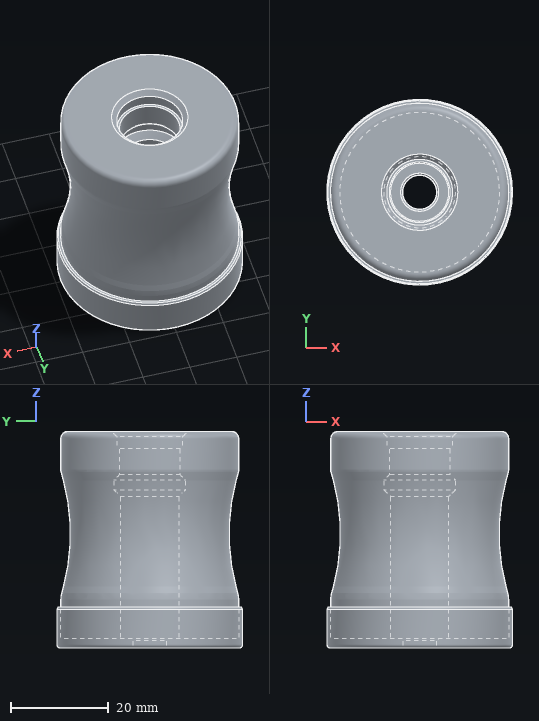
import cadquery as cq
import math

TOTAL_HEIGHT = 44.45
CAP_RADIUS = 38.1 / 2
KNOB_RADIUS = 18.25

CAP_HEIGHT = 8.45
CAP_FLOOR = 2.0
CAP_BOTTOM_FILLET = 0.7
CAP_RIM_CHAMFER_HEIGHT = 0.5
CAP_RIM_CHAMFER_WIDTH = 0.25
CAP_HOLE_RADIUS = 3.45
CAP_HOLE_CHAMFER = 0.45

WAIST_RADIUS = 16.3
WAIST_CENTER_Z = 23.45
WAIST_HALF_HEIGHT = 10.9
WAIST_ARC_RADIUS = 42.23
KNOB_TOP_FILLET = 1.5
UPPER_SHOULDER_FILLET = 2.0
LOWER_SHOULDER_FILLET = 5.1

MOUTH_RADIUS = 6.75
MOUTH_CHAMFER = 1.05
MOUTH_DEPTH = 3.5
NECK_RADIUS = 6.22
NECK_END_DEPTH = 8.9
GROOVE_RADIUS = 7.35
GROOVE_WALL_HEIGHT = 2.0
LOWER_BORE_RADIUS = 5.95


def revolve_profile(profile):
    """Turn a closed (radius, height) outline about the Z axis."""
    return profile.close().revolve(360, (0, 0, 0), (0, 1, 0))


def edge_at(radius, height):
    """Selector for the full circular edge at a given radius and height."""
    margin = 0.05
    reach = radius + margin
    return cq.selectors.BoxSelector(
        (-reach, -reach, height - margin), (reach, reach, height + margin), boundingbox=True
    )


def make_knob_blank():
    """Waisted outside of the knob, without its bore."""
    arc_angle = math.asin(WAIST_HALF_HEIGHT / WAIST_ARC_RADIUS)
    arc_end_radius = WAIST_RADIUS + WAIST_ARC_RADIUS * (1 - math.cos(arc_angle))
    flank_height = (KNOB_RADIUS - arc_end_radius) / math.tan(arc_angle)
    shoulder_offset = WAIST_HALF_HEIGHT + flank_height
    lower_shoulder_z = WAIST_CENTER_Z - shoulder_offset
    upper_shoulder_z = WAIST_CENTER_Z + shoulder_offset

    profile = (
        cq.Workplane("XZ")
        .moveTo(0, CAP_FLOOR)
        .lineTo(KNOB_RADIUS, CAP_FLOOR)
        .lineTo(KNOB_RADIUS, lower_shoulder_z)
        .lineTo(arc_end_radius, WAIST_CENTER_Z - WAIST_HALF_HEIGHT)
        .threePointArc(
            (WAIST_RADIUS, WAIST_CENTER_Z),
            (arc_end_radius, WAIST_CENTER_Z + WAIST_HALF_HEIGHT),
        )
        .lineTo(KNOB_RADIUS, upper_shoulder_z)
        .lineTo(KNOB_RADIUS, TOTAL_HEIGHT)
        .lineTo(0, TOTAL_HEIGHT)
    )
    blank = revolve_profile(profile)
    blank = blank.edges(edge_at(KNOB_RADIUS, lower_shoulder_z)).fillet(LOWER_SHOULDER_FILLET)
    blank = blank.edges(edge_at(KNOB_RADIUS, upper_shoulder_z)).fillet(UPPER_SHOULDER_FILLET)
    return blank.edges(edge_at(KNOB_RADIUS, TOTAL_HEIGHT)).fillet(KNOB_TOP_FILLET)


def make_knob_bore():
    """Stepped bore with a chamfered mouth and an inner groove with 45 degree ends."""
    neck_top_z = TOTAL_HEIGHT - MOUTH_DEPTH
    neck_end_z = TOTAL_HEIGHT - NECK_END_DEPTH
    groove_top_z = neck_end_z - (GROOVE_RADIUS - NECK_RADIUS)
    groove_bottom_z = groove_top_z - GROOVE_WALL_HEIGHT
    lower_bore_z = groove_bottom_z - (GROOVE_RADIUS - LOWER_BORE_RADIUS)

    profile = cq.Workplane("XZ").polyline([
        (0, TOTAL_HEIGHT),
        (MOUTH_RADIUS + MOUTH_CHAMFER, TOTAL_HEIGHT),
        (MOUTH_RADIUS, TOTAL_HEIGHT - MOUTH_CHAMFER),
        (MOUTH_RADIUS, neck_top_z),
        (NECK_RADIUS, neck_top_z),
        (NECK_RADIUS, neck_end_z),
        (GROOVE_RADIUS, groove_top_z),
        (GROOVE_RADIUS, groove_bottom_z),
        (LOWER_BORE_RADIUS, lower_bore_z),
        (LOWER_BORE_RADIUS, CAP_FLOOR),
        (0, CAP_FLOOR),
    ])
    return revolve_profile(profile)


def make_knob():
    return make_knob_blank().cut(make_knob_bore())


def make_cap():
    """Cup with a chamfered rim, a rounded bottom edge and a through hole in its floor."""
    profile = cq.Workplane("XZ").polyline([
        (0, 0),
        (CAP_RADIUS, 0),
        (CAP_RADIUS, CAP_HEIGHT - CAP_RIM_CHAMFER_HEIGHT),
        (CAP_RADIUS - CAP_RIM_CHAMFER_WIDTH, CAP_HEIGHT),
        (0, CAP_HEIGHT),
    ])
    cap = revolve_profile(profile)
    cap = cap.faces("<Z").edges().fillet(CAP_BOTTOM_FILLET)

    socket = cq.Workplane("XY", origin=(0, 0, CAP_FLOOR)).circle(KNOB_RADIUS)
    cap = cap.cut(socket.extrude(CAP_HEIGHT - CAP_FLOOR))

    cap = cap.cut(cq.Workplane("XY").circle(CAP_HOLE_RADIUS).extrude(CAP_FLOOR))
    return cap.edges(edge_at(CAP_HOLE_RADIUS, CAP_FLOOR)).chamfer(CAP_HOLE_CHAMFER)


knob = make_knob()
cap = make_cap()

result = cq.Compound.makeCompound([knob.val(), cap.val()])